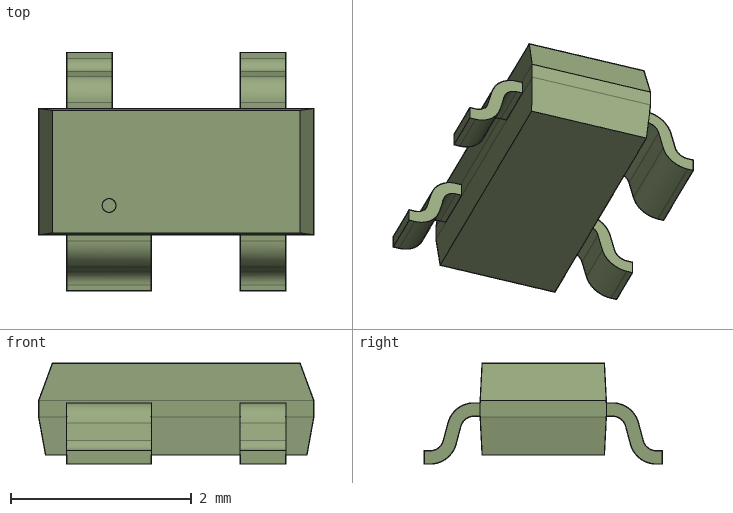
import cadquery as cq
import math

housing_length = 3.05
housing_width = 1.4
top_height = 1.12
standoff = 0.1
band_bottom = 0.522
band_top = 0.705
top_end_inset = 0.152
bottom_end_inset = 0.075
side_inset = 0.02

overall_width = 2.64
lead_thickness = 0.15
lead_top = 0.68
inner_bend_radius = 0.15
lead_slope = math.radians(75.0)
lead_edge_x = 1.215
narrow_lead_width = 0.505
wide_lead_width = 0.94

marker_diameter = 0.152
marker_depth = 0.03
marker_x = -0.745
marker_y = -0.375

outer_bend_radius = inner_bend_radius + lead_thickness
lead_reach = (overall_width - housing_width) / 2
arc_drop = (outer_bend_radius + inner_bend_radius) * (1 - math.cos(lead_slope))
arc_run = (outer_bend_radius + inner_bend_radius) * math.sin(lead_slope)
leg_run = (lead_top - lead_thickness - arc_drop) / math.tan(lead_slope)
flat_length = (lead_reach - arc_run - leg_run) / 2


def tapered_block(seam_z, end_z, end_inset):
    """Block from the full-size band edge to a smaller end face."""
    return (
        cq.Workplane("XY", origin=(0, 0, seam_z))
        .rect(housing_length, housing_width)
        .workplane(offset=end_z - seam_z)
        .rect(housing_length - 2 * end_inset, housing_width - 2 * side_inset)
        .loft(ruled=True)
    )


def make_marker():
    return (
        cq.Workplane("XY", origin=(marker_x, marker_y, top_height - marker_depth))
        .circle(marker_diameter / 2)
        .extrude(marker_depth)
    )


def make_housing():
    band = (
        cq.Workplane("XY", origin=(0, 0, band_bottom))
        .rect(housing_length, housing_width)
        .extrude(band_top - band_bottom)
    )
    upper = tapered_block(band_top, top_height, top_end_inset)
    lower = tapered_block(band_bottom, standoff, bottom_end_inset)
    marker_recess = make_marker()
    return band.union(upper).union(lower).cut(marker_recess)


def make_lead(left_x, width, side):
    """Gull-wing lead; side is -1 for the -Y row and +1 for the +Y row."""
    shoulder_y = housing_width / 2 + flat_length
    toe_y = housing_width / 2 + lead_reach
    foot_y = toe_y - flat_length
    shoulder_center_z = lead_top - outer_bend_radius
    foot_center_z = outer_bend_radius

    def shoulder_point(radius, angle):
        return (
            side * (shoulder_y + radius * math.sin(angle)),
            shoulder_center_z + radius * math.cos(angle),
        )

    def foot_point(radius, angle):
        return (
            side * (foot_y - radius * math.sin(angle)),
            foot_center_z - radius * math.cos(angle),
        )

    half_slope = lead_slope / 2
    profile = (
        cq.Workplane("YZ", origin=(left_x, 0, 0))
        .moveTo(side * housing_width / 2, lead_top)
        .lineTo(*shoulder_point(outer_bend_radius, 0))
        .threePointArc(
            shoulder_point(outer_bend_radius, half_slope),
            shoulder_point(outer_bend_radius, lead_slope),
        )
        .lineTo(*foot_point(inner_bend_radius, lead_slope))
        .threePointArc(foot_point(inner_bend_radius, half_slope), foot_point(inner_bend_radius, 0))
        .lineTo(side * toe_y, lead_thickness)
        .lineTo(side * toe_y, 0)
        .lineTo(*foot_point(outer_bend_radius, 0))
        .threePointArc(
            foot_point(outer_bend_radius, half_slope),
            foot_point(outer_bend_radius, lead_slope),
        )
        .lineTo(*shoulder_point(inner_bend_radius, lead_slope))
        .threePointArc(
            shoulder_point(inner_bend_radius, half_slope),
            shoulder_point(inner_bend_radius, 0),
        )
        .lineTo(side * housing_width / 2, lead_top - lead_thickness)
        .close()
    )
    return profile.extrude(width)


housing = make_housing()
marker = make_marker()

right_lead_x = lead_edge_x - narrow_lead_width
lead_layout = [
    (-lead_edge_x, wide_lead_width, -1),
    (right_lead_x, narrow_lead_width, -1),
    (-lead_edge_x, narrow_lead_width, 1),
    (right_lead_x, narrow_lead_width, 1),
]
leads = [make_lead(left_x, width, side) for left_x, width, side in lead_layout]

result = cq.Compound.makeCompound(
    [housing.val(), marker.val(), *[lead.val() for lead in leads]]
)